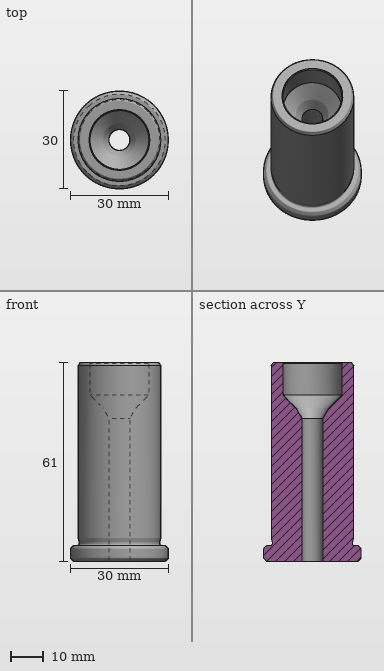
import cadquery as cq

height = 61.0
flange_radius = 30.0 / 2
flange_height = 5.0
body_radius = 25.4 / 2

flange_chamfer = 1.0
body_chamfer_height = 1.0
body_chamfer_width = 0.7
flange_edge_round = 0.5
body_edge_round = 0.3

neck_radius = 24.7 / 2
neck_fillet = 0.5
neck_top = 5.9
relief_top = 7.2

bore_radius = 18.0 / 2
bore_chamfer = 0.3
bore_depth = 10.0
throat_radius = 10.0 / 2
hole_radius = 6.35 / 2
countersink_slope = 1.7


def revolve_profile(profile):
    """Turn a closed radius-height profile once around the Z axis."""
    return profile.close().revolve(360, (0, 0, 0), (0, 1, 0))


def make_outside():
    """Flanged body with a tapered relief above the flange."""
    profile = (
        cq.Workplane("XZ")
        .lineTo(flange_radius - flange_chamfer, 0)
        .lineTo(flange_radius, flange_chamfer)
        .lineTo(flange_radius, flange_height - flange_chamfer)
        .lineTo(flange_radius - flange_chamfer, flange_height)
        .lineTo(neck_radius, flange_height)
        .lineTo(neck_radius, neck_top)
        .lineTo(body_radius, relief_top)
        .lineTo(body_radius, height - body_chamfer_height)
        .lineTo(body_radius - body_chamfer_width, height)
        .lineTo(0, height)
    )
    return revolve_profile(profile)


def make_hole():
    """Chamfered bore, 45-degree funnel, steeper countersink and through hole."""
    bore_floor = height - bore_depth
    throat_top = bore_floor - (bore_radius - throat_radius)
    hole_top = throat_top - countersink_slope * (throat_radius - hole_radius)
    profile = (
        cq.Workplane("XZ")
        .lineTo(hole_radius, 0)
        .lineTo(hole_radius, hole_top)
        .lineTo(throat_radius, throat_top)
        .lineTo(bore_radius, bore_floor)
        .lineTo(bore_radius, height - bore_chamfer)
        .lineTo(bore_radius + bore_chamfer, height)
        .lineTo(0, height)
    )
    return revolve_profile(profile)


def select_ring(body, radius, z):
    """Select the circular edge of the given radius at height z."""
    margin = 0.05
    half_width = radius + margin
    box = cq.selectors.BoxSelector(
        (-half_width, -half_width, z - margin),
        (half_width, half_width, z + margin),
        boundingbox=True,
    )
    widest = cq.selectors.RadiusNthSelector(-1)
    return body.edges("%CIRCLE").edges(box).edges(widest)


def soften_edges(body):
    """Round the chamfer edges and fillet the foot of the neck."""
    rings = [
        (flange_radius, flange_chamfer, flange_edge_round),
        (flange_radius, flange_height - flange_chamfer, flange_edge_round),
        (flange_radius - flange_chamfer, flange_height, flange_edge_round),
        (neck_radius, flange_height, neck_fillet),
        (body_radius - body_chamfer_width, height, body_edge_round),
    ]
    for radius, z, fillet_radius in rings:
        body = select_ring(body, radius, z).fillet(fillet_radius)
    return body


result = soften_edges(make_outside()).cut(make_hole())